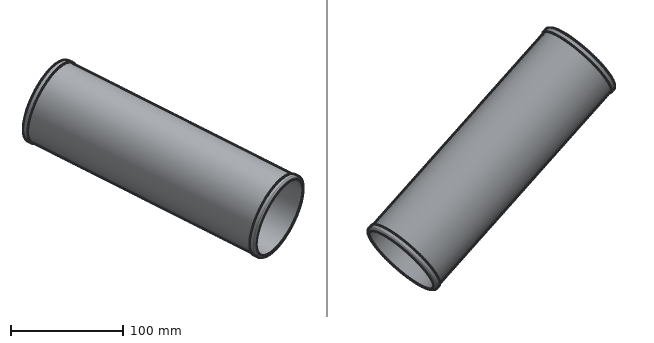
import cadquery as cq

tube_length = 246.89
bore_diameter = 74.61
body_diameter = 79.45
collar_diameter = 80.98
collar_width = 5.7

collar_wall = (collar_diameter - bore_diameter) / 2
rim_radius = collar_wall / 2


def cylinder(diameter, length, x_centre=0):
    """Solid cylinder along X, centred on x_centre."""
    return (
        cq.Workplane("YZ", origin=(x_centre - length / 2, 0, 0))
        .circle(diameter / 2)
        .extrude(length)
    )


def end_collar(side):
    """Raised collar at one end (side is -1 or +1) with its outer rim rounded."""
    collar_centre = side * (tube_length - collar_width) / 2
    outer_end = ">X" if side > 0 else "<X"
    return (
        cylinder(collar_diameter, collar_width, collar_centre)
        .faces(outer_end)
        .edges()
        .fillet(rim_radius)
    )


body_length = tube_length - 2 * collar_width
result = cylinder(body_diameter, body_length)

for side in (-1, 1):
    result = result.union(end_collar(side))

result = result.cut(cylinder(bore_diameter, tube_length))